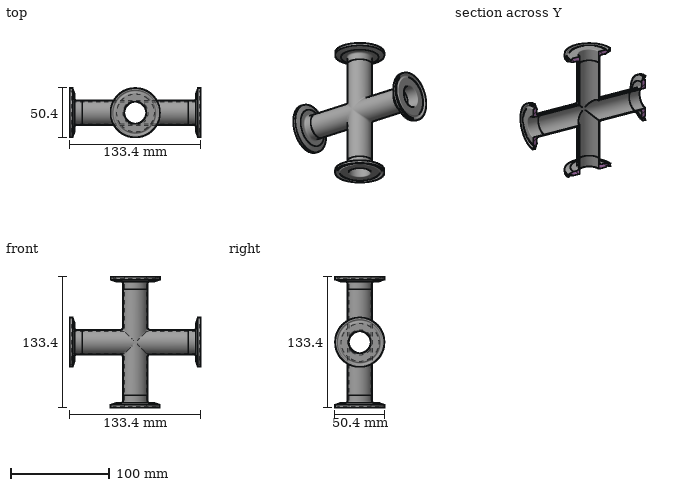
import cadquery as cq
import math

overall_length = 133.4
tube_diameter = 25.3
bore_diameter = 22.1
crotch_radius = 1.9

ferrule_length = 12.8
flange_diameter = 50.4
rim_thickness = 3.0
taper_width = 6.0
taper_angle = 19.0
neck_fillet = 1.6

groove_diameter = 43.5
groove_depth = 1.6
groove_bottom_radius = 1.2
groove_lip_radius = 0.5
groove_wall_angle = 65.0
mouth_radius = 0.8

tube_radius = tube_diameter / 2
bore_radius = bore_diameter / 2
flange_radius = flange_diameter / 2
flange_thickness = rim_thickness + taper_width * math.tan(math.radians(taper_angle))
face_distance = overall_length / 2
cross_length = overall_length - 2 * ferrule_length

groove_centre = groove_diameter / 2
wall_slope = math.radians(groove_wall_angle)
wall_top_depth = groove_lip_radius * (1 - math.cos(wall_slope))
wall_foot_depth = groove_depth - groove_bottom_radius * (1 - math.cos(wall_slope))
wall_foot_offset = groove_bottom_radius * math.sin(wall_slope)
wall_top_offset = wall_foot_offset + (wall_foot_depth - wall_top_depth) / math.tan(wall_slope)
lip_offset = wall_top_offset + groove_lip_radius * math.sin(wall_slope)

arm_angles = [0, 90, 180, 270]


def run_cylinder(radius, turn):
    """Cylinder the length of the cross, centred on the origin and turned from Z around Y."""
    cylinder = cq.Workplane("XY").cylinder(cross_length, radius)
    return cylinder.rotate((0, 0, 0), (0, 1, 0), turn)


def make_cross():
    """Two equal tubes crossing at right angles, with blended crotches and open bores."""
    cross = run_cylinder(tube_radius, 0).union(run_cylinder(tube_radius, 90))
    cross = cross.edges("%ELLIPSE").fillet(crotch_radius)
    return cross.cut(run_cylinder(bore_radius, 0)).cut(run_cylinder(bore_radius, 90))


def make_ferrule():
    """Clamp ferrule on the Z axis, with its gasket face at the top end of the run."""
    back = face_distance - flange_thickness
    neck_end = face_distance - ferrule_length
    groove_bottom = face_distance - groove_depth
    wall_top = face_distance - wall_top_depth
    wall_foot = face_distance - wall_foot_depth
    return (
        cq.Workplane("XZ")
        .moveTo(bore_radius, neck_end)
        .lineTo(tube_radius, neck_end)
        .lineTo(tube_radius, back - neck_fillet)
        .radiusArc((tube_radius + neck_fillet, back), neck_fillet)
        .lineTo(flange_radius - taper_width, back)
        .lineTo(flange_radius, face_distance - rim_thickness)
        .lineTo(flange_radius, face_distance)
        .lineTo(groove_centre + lip_offset, face_distance)
        .radiusArc((groove_centre + wall_top_offset, wall_top), -groove_lip_radius)
        .lineTo(groove_centre + wall_foot_offset, wall_foot)
        .threePointArc((groove_centre, groove_bottom), (groove_centre - wall_foot_offset, wall_foot))
        .lineTo(groove_centre - wall_top_offset, wall_top)
        .radiusArc((groove_centre - lip_offset, face_distance), -groove_lip_radius)
        .lineTo(bore_radius + mouth_radius, face_distance)
        .radiusArc((bore_radius, face_distance - mouth_radius), -mouth_radius)
        .close()
        .revolve(360, (0, 0, 0), (0, 1, 0))
    )


cross = make_cross()
ferrule = make_ferrule()
ferrules = [ferrule.rotate((0, 0, 0), (0, 1, 0), angle) for angle in arm_angles]

result = cq.Compound.makeCompound([cross.val(), *[f.val() for f in ferrules]])